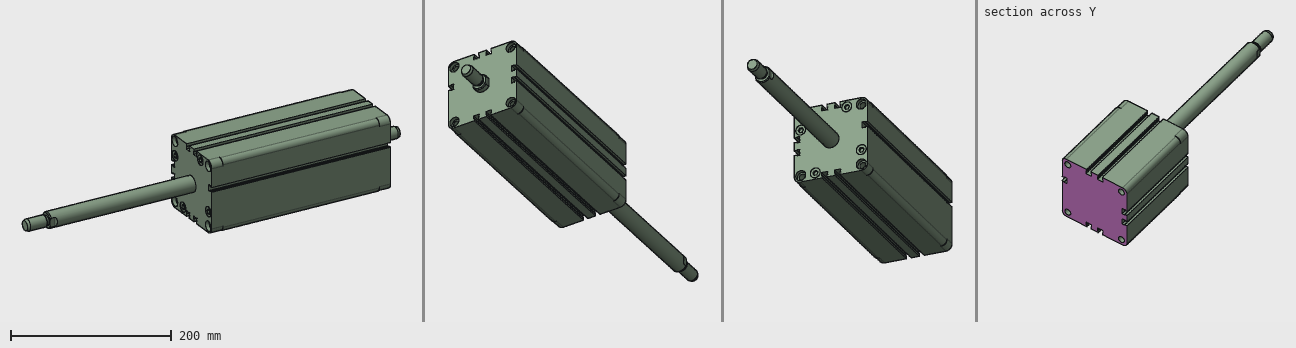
import cadquery as cq

overall_length = 536.0
front_end = -overall_length / 2
rear_end = overall_length / 2

housing_side = 100.0
half_side = housing_side / 2
housing_front = -28.5
housing_length = 257.5
housing_rear = housing_front + housing_length
cap_length = 16.0
cap_corner_radius = 8.5
profile_corner_radius = 7.0

slot_neck_width = 6.5
slot_inner_width = 8.0
slot_neck_depth = 4.0
slot_depth = 7.5
slot_pair_spacing = 17.5
single_slot_offset = 12.5

hole_offset = 41.5
mounting_hole_diameter = 8.5
counterbore_diameter = 13.5
counterbore_depth = 5.5
screw_offset = 21.5
screw_head_diameter = 13.5
screw_head_recess = 0.5
socket_across_corners = 7.0
socket_depth = 3.0

rod_diameter = 22.0
shoulder_diameter = 20.0
shoulder_chamfer_length = 1.5
stud_diameter = 16.0
stud_tip_diameter = 13.5
stud_tip_length = 4.0
neck_diameter = 13.5
neck_length = 3.0
stud_length = 28.0
flat_width = 18.0
flat_length = 10.0
flat_runout_radius = 4.5


def along_y(start_y):
    """Workplane with local x = X and local y = Z, extruding toward +Y for negative lengths."""
    return cq.Workplane("XZ", origin=(0, start_y, 0))


def square_bar(start_y, length, corner_radius):
    bar = along_y(start_y).rect(housing_side, housing_side).extrude(-length)
    return bar.edges("|Y").fillet(corner_radius)


def t_slot(offset, turn):
    """Slot cutter for the top face at X = offset, turned about Y onto the chosen face."""
    neck = along_y(housing_front).center(offset, half_side - slot_depth / 2)
    neck = neck.rect(slot_neck_width, slot_depth).extrude(-housing_length)
    inner_height = slot_depth - slot_neck_depth
    inner = along_y(housing_front).center(offset, half_side - slot_depth + inner_height / 2)
    inner = inner.rect(slot_inner_width, inner_height).extrude(-housing_length)
    return neck.union(inner).rotate((0, 0, 0), (0, 1, 0), turn)


def make_housing():
    rear_cap_front = housing_rear - cap_length
    profile_length = housing_length - 2 * cap_length
    housing = square_bar(housing_front + cap_length, profile_length, profile_corner_radius)
    for cap_start in (housing_front, rear_cap_front):
        housing = housing.union(square_bar(cap_start, cap_length, cap_corner_radius))
    for turn in (0, 180, 270):
        for offset in (-slot_pair_spacing / 2, slot_pair_spacing / 2):
            housing = housing.cut(t_slot(offset, turn))
    return housing.cut(t_slot(-single_slot_offset, 90))


def cut_mounting_holes(housing):
    corners = [(x, z) for x in (-hole_offset, hole_offset) for z in (-hole_offset, hole_offset)]
    holes = along_y(housing_front).pushPoints(corners).circle(mounting_hole_diameter / 2)
    housing = housing.cut(holes.extrude(-housing_length))
    for start_y in (housing_front, housing_rear - counterbore_depth):
        bores = along_y(start_y).pushPoints(corners).circle(counterbore_diameter / 2)
        housing = housing.cut(bores.extrude(-counterbore_depth))
    return housing


def cut_screw_heads(housing):
    """Four shallow sunk heads with hexagon sockets, 90 degrees apart about Y."""
    centres = [
        (screw_offset, hole_offset),
        (-hole_offset, screw_offset),
        (-screw_offset, -hole_offset),
        (hole_offset, -screw_offset),
    ]
    heads = along_y(housing_front).pushPoints(centres).circle(screw_head_diameter / 2)
    sockets = along_y(housing_front).pushPoints(centres).polygon(6, socket_across_corners)
    return housing.cut(heads.extrude(-screw_head_recess)).cut(sockets.extrude(-socket_depth))


def flat_cutter(side, shoulder_y):
    """Block that mills a wrench flat from a shoulder, ending in a rounded runout."""
    cutter = cq.Workplane("XY").box(rod_diameter, 2 * flat_length, rod_diameter)
    inner_edges = "|Z and <X" if side > 0 else "|Z and >X"
    cutter = cutter.edges(inner_edges).fillet(flat_runout_radius)
    return cutter.translate((side * (flat_width + rod_diameter) / 2, shoulder_y, 0))


def make_rod():
    shoulder_front = front_end + stud_length + neck_length
    shoulder_rear = rear_end - stud_length - neck_length
    half_profile = [
        (0, front_end),
        (stud_tip_diameter / 2, front_end),
        (stud_diameter / 2, front_end + stud_tip_length),
        (stud_diameter / 2, front_end + stud_length),
        (neck_diameter / 2, front_end + stud_length),
        (neck_diameter / 2, shoulder_front),
        (shoulder_diameter / 2, shoulder_front),
        (rod_diameter / 2, shoulder_front + shoulder_chamfer_length),
        (rod_diameter / 2, shoulder_rear - shoulder_chamfer_length),
        (shoulder_diameter / 2, shoulder_rear),
        (neck_diameter / 2, shoulder_rear),
        (neck_diameter / 2, rear_end - stud_length),
        (stud_diameter / 2, rear_end - stud_length),
        (stud_diameter / 2, rear_end - stud_tip_length),
        (stud_tip_diameter / 2, rear_end),
        (0, rear_end),
    ]
    rod = cq.Workplane("XY").polyline(half_profile).close().revolve(360, (0, 0, 0), (0, 1, 0))
    for y in (shoulder_front, shoulder_rear):
        for side in (-1, 1):
            rod = rod.cut(flat_cutter(side, y))
    return rod


housing = cut_screw_heads(cut_mounting_holes(make_housing()))
result = housing.union(make_rod())